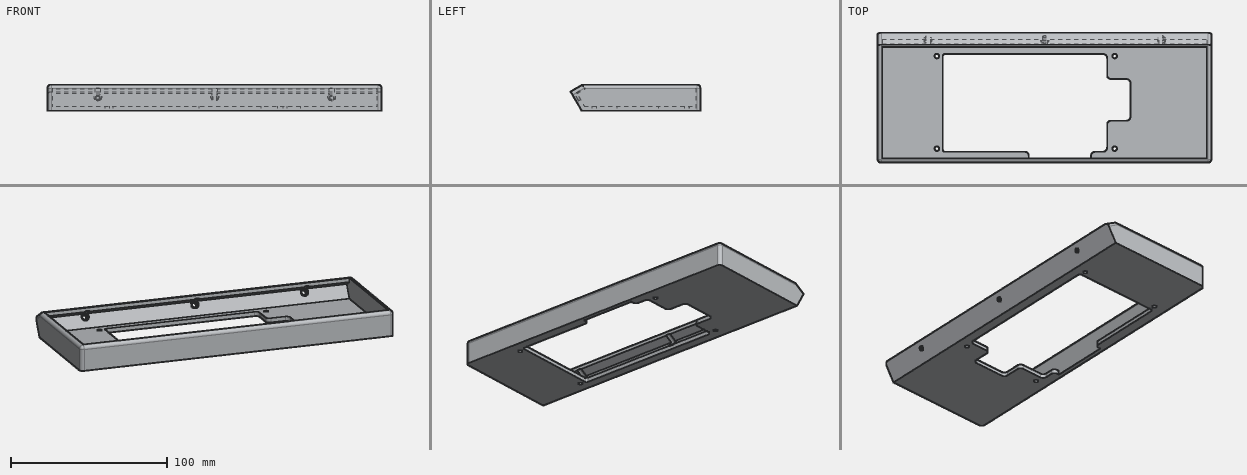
import cadquery as cq
import math

length = 214.0
depth = 83.2
height = 17.0
wall = 3.0
floor = 3.0
edge_radius = 2.4

tilt = math.radians(30)
peak_z = 12.5
rear_foot_y = depth - peak_z * math.tan(tilt)
roof_top_y = depth - (height - peak_z) / math.tan(tilt)
slant_wall = wall / math.cos(tilt)

lip_y = 74.0
rear_floor_y = rear_foot_y - slant_wall + floor * math.tan(tilt)
inner_peak_y = depth - wall * (math.cos(tilt) + math.sin(tilt))
inner_peak_z = peak_z + wall * (math.sin(tilt) - math.cos(tilt))
lip_bottom_z = inner_peak_z + (inner_peak_y - lip_y) * math.tan(tilt)

window_left = 42.0
window_right = 147.0
window_front = 7.0
window_rear = 69.5
tab_right = 162.0
tab_front = 27.0
tab_rear = 53.5
front_gap_left = 97.0
front_gap_right = 136.7
left_radius = 1.3
right_radius = 2.5

floor_hole_diameter = 2.8
floor_hole_xs = (38.0, 152.0)
floor_hole_ys = (9.0, 68.3)

rear_hole_diameter = 3.0
rear_pocket_diameter = 5.1
rear_pocket_depth = wall / 2
rear_hole_count = 3
rear_hole_pitch = 75.0
rear_hole_z = 9.6
rear_hole_y = rear_floor_y + (rear_hole_z - floor) * math.tan(tilt)


def extrude_along_x(points, x_start, x_end):
    """Extrude a (Y, Z) outline between two X positions."""
    outline = cq.Workplane("YZ", origin=(x_start, 0, 0)).polyline(points).close()
    return outline.extrude(x_end - x_start)


def box_between(x_start, x_end, y_start, y_end):
    """Cutter box spanning the floor thickness."""
    block = cq.Workplane("XY").box(x_end - x_start, y_end - y_start, floor, centered=False)
    return block.translate((x_start, y_start, 0))


def make_shell():
    body = extrude_along_x(
        [(0, 0), (rear_foot_y, 0), (depth, peak_z), (roof_top_y, height), (0, height)],
        0,
        length,
    )
    roof_middle_y = (roof_top_y + depth) / 2
    roof_middle_z = (height + peak_z) / 2
    front_uprights = body.edges("|Z")
    front_rim = body.edges("<Y and >Z")
    side_rims = body.faces("<X or >X").edges(">Z")
    rounded_edges = front_uprights.add(front_rim).add(side_rims)
    for x in (0, length):
        roof_end = cq.NearestToPointSelector((x, roof_middle_y, roof_middle_z))
        rounded_edges = rounded_edges.add(body.edges(roof_end))
    body = rounded_edges.fillet(edge_radius)
    cavity = extrude_along_x(
        [
            (wall, floor),
            (rear_floor_y, floor),
            (inner_peak_y, inner_peak_z),
            (lip_y, lip_bottom_z),
            (lip_y, height),
            (wall, height),
        ],
        wall,
        length - wall,
    )
    return body.cut(cavity)


def make_window():
    opening = box_between(window_left, window_right, window_front, window_rear)
    tab = box_between(window_right, tab_right, tab_front, tab_rear)
    front_gap = box_between(front_gap_left, front_gap_right, wall, window_front)
    window = opening.union(tab).union(front_gap)
    window = window.edges("|Z").edges("<X").fillet(left_radius)
    tab_side = cq.selectors.BoxSelector(
        (front_gap_left - left_radius, window_front - left_radius, 0),
        (tab_right + left_radius, window_rear + left_radius, floor),
    )
    return window.edges("|Z").edges(tab_side).fillet(right_radius)


def make_floor_holes():
    centers = [(x, y) for x in floor_hole_xs for y in floor_hole_ys]
    return cq.Workplane("XY").pushPoints(centers).circle(floor_hole_diameter / 2).extrude(floor)


def make_rear_holes():
    outward = cq.Vector(0, math.cos(tilt), -math.sin(tilt))
    wall_point = cq.Vector(length / 2, rear_hole_y, rear_hole_z)
    pocket_bottom = wall_point + outward * rear_pocket_depth

    def hole_row(origin, direction, diameter, reach):
        plane = cq.Plane(origin=origin, xDir=(1, 0, 0), normal=direction)
        centers = cq.Workplane(plane).rarray(rear_hole_pitch, 2.1, rear_hole_count, 1)
        return centers.circle(diameter / 2).extrude(reach)

    pockets = hole_row(pocket_bottom, -outward, rear_pocket_diameter, 2 * wall + rear_pocket_depth)
    holes = hole_row(wall_point, outward, rear_hole_diameter, 2 * wall)
    return pockets.union(holes)


result = make_shell().cut(make_window()).cut(make_floor_holes()).cut(make_rear_holes())